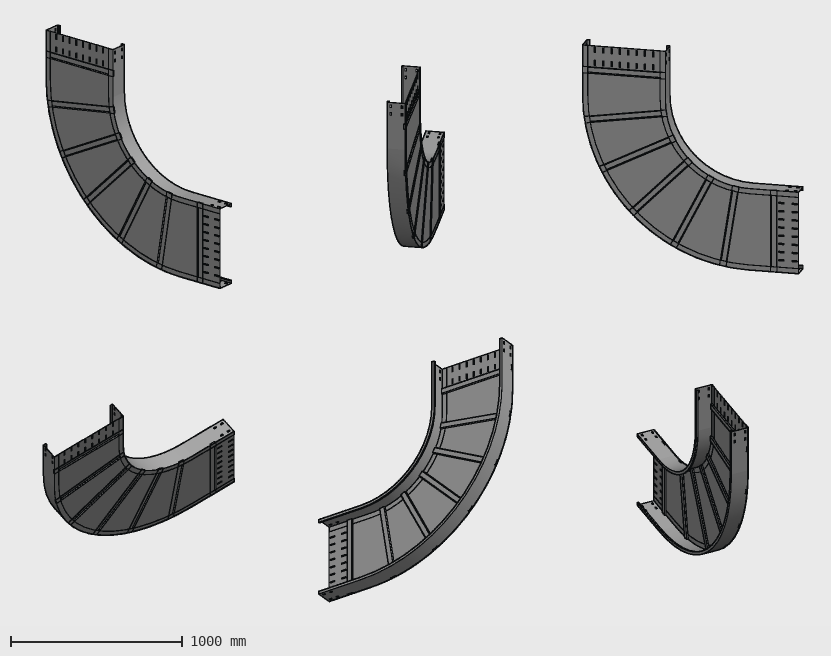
import cadquery as cq

overall = 1300.0
tray_height = 110.0
tray_width = 500.0
straight_length = 300.0
sheet = 2.0

front_flange = 32.0
back_flange = 20.0
lip_depth = 10.0
rail_slot_length = 15.0
rail_slot_width = 8.0
rail_slot_insets = (25.0, 74.0)
rail_slot_spacing = 66.0

rib_width = 39.0
rib_crest = 29.0
rib_depth = 8.0
end_rib_inset = 151.0
bend_rib_count = 5

floor_slot_length = 30.0
floor_slot_width = 6.0
floor_slot_insets = (25.0, 104.0)
floor_slot_pitch = 50.0
floor_slot_count = 8

bend_centre = overall - straight_length
outer_radius = bend_centre
inner_radius = outer_radius - tray_width
middle_radius = (outer_radius + inner_radius) / 2
bend_rib_step = 90.0 / bend_rib_count


def bend_band(radius_a, radius_b, y_start, y_end):
    """Curved strip with straight ends between two concentric tray lines, from y_start to y_end."""
    small, large = sorted((radius_a, radius_b))
    diagonal = 0.5 ** 0.5
    c = bend_centre
    return (
        cq.Workplane("XZ", origin=(0, y_start, 0))
        .moveTo(c - large, overall)
        .lineTo(c - large, c)
        .threePointArc((c - large * diagonal, c - large * diagonal), (c, c - large))
        .lineTo(overall, c - large)
        .lineTo(overall, c - small)
        .lineTo(c, c - small)
        .threePointArc((c - small * diagonal, c - small * diagonal), (c - small, c))
        .lineTo(c - small, overall)
        .close()
        .extrude(y_start - y_end)
    )


def end_slot(radius, y_centre, inset, size_radial, size_y, size_along, at_right_end):
    """Cutter for a slot near the +Z end of the tray, or near the +X end."""
    across = bend_centre - radius
    along = overall - inset
    if at_right_end:
        return cq.Workplane("XY").box(size_along, size_y, size_radial).translate((along, y_centre, across))
    return cq.Workplane("XY").box(size_radial, size_y, size_along).translate((across, y_centre, along))


def make_rail(web_radius, inward):
    """Channel rail; inward is the sign of the radius change from its web towards the tray middle."""
    web_inside = web_radius + inward * sheet
    back_edge = web_radius + inward * back_flange
    rail = bend_band(web_radius, web_inside, 0, tray_height)
    rail = rail.union(bend_band(web_radius, web_radius + inward * front_flange, 0, sheet))
    rail = rail.union(bend_band(web_radius, back_edge, tray_height - sheet, tray_height))
    rail = rail.union(
        bend_band(back_edge - inward * sheet, back_edge, tray_height - lip_depth, tray_height)
    )
    for at_right_end in (False, True):
        for inset in rail_slot_insets:
            for side in (-1, 1):
                y_centre = tray_height / 2 + side * rail_slot_spacing / 2
                rail = rail.cut(end_slot(
                    web_radius, y_centre, inset, 4 * sheet, rail_slot_width, rail_slot_length, at_right_end
                ))
    return rail


def rib_bar(width, crest, y_base, y_crest, angle, offset):
    """Trapezoidal bar across the tray, turned by angle about the bend centre and moved by offset
    square to its own length before turning."""
    return (
        cq.Workplane("YZ")
        .polyline([
            (y_base, -width / 2),
            (y_base, width / 2),
            (y_crest, crest / 2),
            (y_crest, -crest / 2),
        ])
        .close()
        .extrude(-overall)
        .translate((0, 0, offset))
        .rotate((0, 0, 0), (0, 1, 0), -angle)
        .translate((bend_centre, 0, bend_centre))
    )


def make_floor():
    """Flat sheet resting on the front flanges, with hollow ribs pressed towards +Y."""
    small = inner_radius + sheet
    large = outer_radius - sheet
    front = sheet
    back = front + sheet
    floor = bend_band(small, large, front, back)
    rib_space = bend_band(small, large, front, back + rib_depth)

    end_offset = straight_length - end_rib_inset
    ribs = [(0, end_offset), (90, -end_offset)]
    ribs += [((i + 0.5) * bend_rib_step, 0) for i in range(bend_rib_count)]
    for angle, offset in ribs:
        outside = rib_bar(
            rib_width + 2 * sheet, rib_crest + 2 * sheet, front, back + rib_depth, angle, offset
        )
        groove = rib_bar(rib_width, rib_crest, front, front + rib_depth, angle, offset)
        floor = floor.union(outside.intersect(rib_space)).cut(groove)

    for at_right_end in (False, True):
        for inset in floor_slot_insets:
            for i in range(floor_slot_count):
                radius = middle_radius + (i - (floor_slot_count - 1) / 2) * floor_slot_pitch
                floor = floor.cut(end_slot(
                    radius, front, inset, floor_slot_width, 4 * sheet, floor_slot_length, at_right_end
                ))
    return floor


outer_rail = make_rail(outer_radius, -1)
inner_rail = make_rail(inner_radius, 1)
floor = make_floor()

result = cq.Compound.makeCompound([outer_rail.val(), inner_rail.val(), floor.val()])